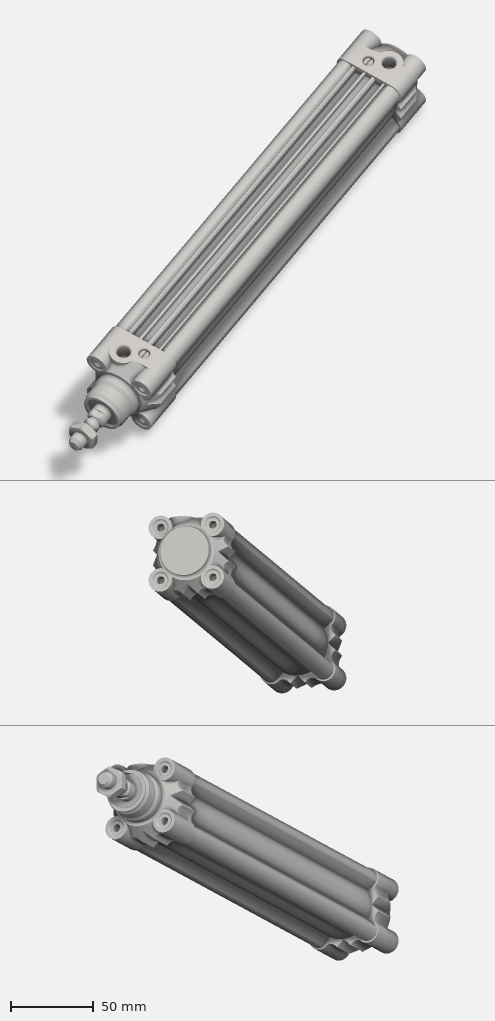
import cadquery as cq
import math

OVERALL_LENGTH = 346.0
CAP_WIDTH = 47.0
SCREW_OFFSET = 16.3

TIP_Y = -OVERALL_LENGTH / 2
ROD_SHOULDER_Y = TIP_Y + 22.0
NOSE_END_Y = TIP_Y + 29.8
FRONT_FACE_Y = TIP_Y + 48.0
REAR_FLANGE_HEIGHT = 4.0
REAR_FACE_Y = OVERALL_LENGTH / 2 - REAR_FLANGE_HEIGHT
CAP_LENGTH = 26.5
TUBE_FRONT_Y = FRONT_FACE_Y + CAP_LENGTH
TUBE_REAR_Y = REAR_FACE_Y - CAP_LENGTH
TUBE_LENGTH = TUBE_REAR_Y - TUBE_FRONT_Y

CAP_HALF = CAP_WIDTH / 2
LOBE_RADIUS = CAP_HALF - SCREW_OFFSET
LUG_LENGTH = 15.2
LUG_HALF = 21.5
LUG_FOOT = 11.5
GROOVE_DEPTH = 4.5
LIP_INNER = 4.5
LIP_OUTER = 5.0
HOLLOW_S = 6.5
HOLLOW_HALF = 21.8
CORE_END_RADIUS = 17.3
CORE_ROOT_RADIUS = 24.5

PORT_X = 5.5
PORT_FROM_FACE = 13.0
PORT_DIAMETER = 10.0
PORT_THREAD_DIAMETER = 8.5
PORT_DEPTH = 11.0
PASSAGE_DIAMETER = 6.2
PASSAGE_CORE_DIAMETER = 22.0
PORT_BOSS_RADIUS = 8.5
CUSHION_X = 5.5
CUSHION_FROM_FACE = 19.0
CUSHION_DIAMETER = 8.0
CUSHION_DEPTH = 3.5
CUSHION_BORE_DIAMETER = 7.0
CUSHION_HEAD_DIAMETER = 6.0
CUSHION_HEAD_HEIGHT = 2.0
CUSHION_SLOT_WIDTH = 1.0
CUSHION_SLOT_DEPTH = 1.0

SCREW_RECESS_DIAMETER = 10.5
SCREW_RECESS_FLOOR_DIAMETER = 8.5
SCREW_RECESS_DEPTH = 0.85
SCREW_HOLE_DIAMETER = 5.0
SCREW_HOLE_DEPTH = 7.0
DRILL_TIP_DEPTH = 1.5

FLANGE_RADIUS = 30.0 / 2
NECK_RADIUS = 28.0 / 2
NOSE_TIP_RADIUS = 26.0 / 2
FLANGE_WIDTH = 5.0
FLANGE_CONE = 2.0
NOSE_TIP_WIDTH = 1.5
NOSE_CONE = 2.0
WIPER_RECESS_DIAMETER = 22.0
WIPER_RECESS_DEPTH = 2.0
REAR_RIM_WIDTH = 1.7

TUBE_HALF = 22.5
TUBE_CORNER_RADIUS = TUBE_HALF - SCREW_OFFSET
BARREL_RADIUS = 19.0
LEDGE_OUTER = 14.2
SLOT_CENTER_X = 7.3
SLOT_WIDTH = 5.2
SLOT_FLOOR_Z = 16.5
RAIL_OUTER_X = 11.8
SLOT_CHAMFER = 1.0
RAIL_INNER_X = 2.5
RAIL_TOP_Z = 21.8

ROD_DIAMETER = 12.0
ROD_FLATS = 10.0
ROD_FLATS_LENGTH = 5.0
ROD_CHAMFER = 1.5
UNDERCUT_DIAMETER = 8.0
UNDERCUT_LENGTH = 2.0
THREAD_DIAMETER = 10.0
THREAD_CHAMFER = 1.55
THREAD_CHAMFER_LENGTH = 2.5
NUT_FLATS = 17.0
NUT_WIDTH = 6.0
NUT_FROM_TIP = 7.3
NUT_BEVEL_ANGLE = 30
NUT_TURN = 30


def revolve(profile):
    """Turn (radius, y) points about the Y axis."""
    return cq.Workplane("XY").polyline(profile).close().revolve(360, (0, 0, 0), (0, 1, 0))


def along_y(y):
    """Plane square to the cylinder axis, with X to the right, Z up and its normal along -Y."""
    return cq.Workplane("XZ", origin=(0, y, 0))


def corners():
    """X, Z of the four tie screw axes."""
    return [(x, z) for x in (-SCREW_OFFSET, SCREW_OFFSET) for z in (-SCREW_OFFSET, SCREW_OFFSET)]


def lobes():
    """Round columns that hold the tie screws."""
    return along_y(TUBE_FRONT_Y).pushPoints(corners()).circle(LOBE_RADIUS).extrude(CAP_LENGTH)


def grooved_side(outline, place):
    """Add one side: a V groove between two narrow lips, and a hollow from each lip to the lobe.

    place(s, reach) gives the X, Z of a point s along the side and reach from the axis.
    """
    outline = outline.lineTo(*place(-SCREW_OFFSET, LUG_HALF)).lineTo(*place(-LUG_FOOT, LUG_HALF))
    outline = outline.threePointArc(place(-HOLLOW_S, HOLLOW_HALF), place(-LIP_OUTER, CAP_HALF))
    groove = [(-LIP_INNER, CAP_HALF), (0, CAP_HALF - GROOVE_DEPTH), (LIP_INNER, CAP_HALF)]
    for s, reach in groove + [(LIP_OUTER, CAP_HALF)]:
        outline = outline.lineTo(*place(s, reach))
    outline = outline.threePointArc(place(HOLLOW_S, HOLLOW_HALF), place(LUG_FOOT, LUG_HALF))
    return outline.lineTo(*place(SCREW_OFFSET, LUG_HALF))


def lug_section(length):
    """Block with a grooved left, bottom and right side, and a flat top."""
    outline = along_y(TUBE_FRONT_Y).moveTo(SCREW_OFFSET, CAP_HALF).lineTo(-SCREW_OFFSET, CAP_HALF)
    outline = grooved_side(outline, lambda s, reach: (-reach, -s))
    outline = grooved_side(outline, lambda s, reach: (s, -reach))
    outline = grooved_side(outline, lambda s, reach: (reach, s))
    return outline.close().extrude(length)


def core():
    """Cone that closes the end of the cap between the lobes."""
    lug_end = TUBE_FRONT_Y - LUG_LENGTH
    cone = revolve([(0, lug_end), (CORE_ROOT_RADIUS, lug_end),
                    (CORE_END_RADIUS, FRONT_FACE_Y), (0, FRONT_FACE_Y)])
    return cone.intersect(lug_section(CAP_LENGTH))


def port_boss():
    """Round pillar that carries the port beyond the end of the flat top."""
    y = FRONT_FACE_Y + PORT_FROM_FACE
    return cq.Workplane("XY", origin=(-PORT_X, y, 0)).circle(PORT_BOSS_RADIUS).extrude(CAP_HALF)


def hole_mouth(x, y, mouth_diameter, bore_diameter):
    """45 degree countersink in the flat top of a cap."""
    chamfer = (mouth_diameter - bore_diameter) / 2
    return (cq.Workplane("XY", origin=(x, y, CAP_HALF)).circle(mouth_diameter / 2)
            .workplane(offset=-chamfer).circle(bore_diameter / 2).loft())


def port_cut():
    """Countersunk blind port in the cap top."""
    x, y = -PORT_X, FRONT_FACE_Y + PORT_FROM_FACE
    bore = (cq.Workplane("XY", origin=(x, y, CAP_HALF))
            .circle(PORT_THREAD_DIAMETER / 2).extrude(-PORT_DEPTH))
    return bore.union(hole_mouth(x, y, PORT_DIAMETER, PORT_THREAD_DIAMETER))


def air_passage():
    """Narrower hole in the port floor, down to a round core on the cylinder axis."""
    y = FRONT_FACE_Y + PORT_FROM_FACE
    hole = (cq.Workplane("XY", origin=(-PORT_X, y, 0))
            .circle(PASSAGE_DIAMETER / 2).extrude(CAP_HALF - PORT_DEPTH))
    round_core = along_y(TUBE_FRONT_Y).circle(PASSAGE_CORE_DIAMETER / 2).extrude(CAP_LENGTH)
    return hole.cut(round_core)


def cushion_cut():
    """Ring-shaped pocket round a slotted screw head."""
    x, y = CUSHION_X, FRONT_FACE_Y + CUSHION_FROM_FACE
    floor = cq.Workplane("XY", origin=(x, y, CAP_HALF - CUSHION_DEPTH))
    pocket = floor.circle(CUSHION_BORE_DIAMETER / 2).extrude(CUSHION_DEPTH)
    pocket = pocket.union(hole_mouth(x, y, CUSHION_DIAMETER, CUSHION_BORE_DIAMETER))
    head = floor.circle(CUSHION_HEAD_DIAMETER / 2).extrude(CUSHION_HEAD_HEIGHT)
    slot = (floor.workplane(offset=CUSHION_HEAD_HEIGHT - CUSHION_SLOT_DEPTH)
            .rect(CUSHION_SLOT_WIDTH, CUSHION_HEAD_DIAMETER).extrude(CUSHION_SLOT_DEPTH))
    return pocket.cut(head.cut(slot))


def screw_cut(x, z):
    """Tapered recess and drilled hole at the end of one lobe."""
    recess, floor, hole = (d / 2 for d in (
        SCREW_RECESS_DIAMETER, SCREW_RECESS_FLOOR_DIAMETER, SCREW_HOLE_DIAMETER))
    floor_y = FRONT_FACE_Y + SCREW_RECESS_DEPTH
    hole_y = FRONT_FACE_Y + SCREW_HOLE_DEPTH
    cut = revolve([(0, FRONT_FACE_Y), (recess, FRONT_FACE_Y), (floor, floor_y), (hole, floor_y),
                   (hole, hole_y), (0, hole_y + DRILL_TIP_DEPTH)])
    return cut.translate((x, 0, z))


def plain_cap():
    """Everything that the two caps share."""
    cap = lug_section(LUG_LENGTH).union(lobes()).union(core()).union(port_boss())
    cap = cap.cut(port_cut()).cut(cushion_cut())
    for x, z in corners():
        cap = cap.cut(screw_cut(x, z))
    return cap


def nose():
    """Stepped front collar, hollowed at its end round the rod."""
    flange_end = FRONT_FACE_Y - FLANGE_WIDTH
    tip_start = NOSE_END_Y + NOSE_TIP_WIDTH
    recess = WIPER_RECESS_DIAMETER / 2
    recess_y = NOSE_END_Y + WIPER_RECESS_DEPTH
    return revolve([
        (0, FRONT_FACE_Y), (FLANGE_RADIUS, FRONT_FACE_Y), (FLANGE_RADIUS, flange_end),
        (NECK_RADIUS, flange_end - FLANGE_CONE), (NECK_RADIUS, tip_start + NOSE_CONE),
        (NOSE_TIP_RADIUS, tip_start), (NOSE_TIP_RADIUS, NOSE_END_Y),
        (recess, NOSE_END_Y), (recess, recess_y), (0, recess_y)])


def make_front_cap():
    """Shared cap with the air passage and the nose."""
    return plain_cap().cut(air_passage()).union(nose())


def make_rear_cap():
    """The same cap turned round, with a low rimmed flange instead of the nose."""
    cap = plain_cap().rotate((0, 0, 0), (0, 0, 1), 180)
    cap = cap.translate((0, FRONT_FACE_Y + REAR_FACE_Y, 0))
    rim_y = OVERALL_LENGTH / 2 - REAR_RIM_WIDTH
    flange = revolve([(0, REAR_FACE_Y), (NECK_RADIUS, REAR_FACE_Y), (FLANGE_RADIUS, rim_y),
                      (FLANGE_RADIUS, OVERALL_LENGTH / 2), (0, OVERALL_LENGTH / 2)])
    return cap.union(flange)


def tube_corner(x_sign, z_sign, ledge):
    """Start, middle and end of the round on one corner, between its two ledges."""
    mid = SCREW_OFFSET + TUBE_CORNER_RADIUS / math.sqrt(2)
    points = [(ledge, LEDGE_OUTER), (mid, mid), (LEDGE_OUTER, ledge)]
    return [(x_sign * x, z_sign * z) for x, z in points]


def ledge_end(ledge):
    """Where a ledge running inwards at 45 degrees meets the round barrel."""
    half_gap = (ledge - LEDGE_OUTER) / 2
    middle = math.sqrt(BARREL_RADIUS ** 2 / 2 - half_gap ** 2)
    return middle + half_gap, middle - half_gap


def tube_section(ledge):
    """Four rounded corners with the round barrel bulging between them."""
    far, near = ledge_end(ledge)
    lower_right = tube_corner(1, -1, ledge)
    upper_right = tube_corner(1, 1, ledge)
    upper_left = tube_corner(-1, 1, ledge)
    lower_left = tube_corner(-1, -1, ledge)
    outline = along_y(TUBE_REAR_Y).moveTo(*lower_right[2]).threePointArc(*lower_right[1::-1])
    outline = outline.lineTo(far, -near).threePointArc((BARREL_RADIUS, 0), (far, near))
    outline = outline.lineTo(*upper_right[0]).threePointArc(*upper_right[1:])
    outline = outline.lineTo(near, far).threePointArc((0, BARREL_RADIUS), (-near, far))
    outline = outline.lineTo(*upper_left[2]).threePointArc(*upper_left[1::-1])
    outline = outline.lineTo(-far, near).threePointArc((-BARREL_RADIUS, 0), (-far, -near))
    outline = outline.lineTo(*lower_left[0]).threePointArc(*lower_left[1:])
    outline = outline.lineTo(-near, -far).threePointArc((0, -BARREL_RADIUS), (near, -far))
    return outline.close()


def slot_rail(side):
    """Raised pair of walls with an open sensor slot between them."""
    slot_inner = SLOT_CENTER_X - SLOT_WIDTH / 2
    slot_outer = SLOT_CENTER_X + SLOT_WIDTH / 2
    chamfer_z = RAIL_TOP_Z - SLOT_CHAMFER
    profile = [
        (RAIL_INNER_X, 0), (RAIL_INNER_X, RAIL_TOP_Z),
        (slot_inner - SLOT_CHAMFER, RAIL_TOP_Z), (slot_inner, chamfer_z),
        (slot_inner, SLOT_FLOOR_Z), (slot_outer, SLOT_FLOOR_Z),
        (slot_outer, chamfer_z), (slot_outer + SLOT_CHAMFER, RAIL_TOP_Z),
        (RAIL_OUTER_X, RAIL_TOP_Z), (RAIL_OUTER_X, 0)]
    outline = along_y(TUBE_REAR_Y).polyline([(side * x, z) for x, z in profile]).close()
    return outline.extrude(TUBE_LENGTH)


def make_tube():
    """Profile tube between the caps, with two sensor slots along its top."""
    drop = SCREW_OFFSET - LEDGE_OUTER
    ledge = SCREW_OFFSET + math.sqrt(TUBE_CORNER_RADIUS ** 2 - drop ** 2)
    body = tube_section(ledge).extrude(TUBE_LENGTH)
    for side in (-1, 1):
        clearing = (along_y(TUBE_REAR_Y).center(side * SLOT_CENTER_X, SLOT_FLOOR_Z + CAP_HALF / 2)
                    .rect(SLOT_WIDTH, CAP_HALF).extrude(TUBE_LENGTH))
        body = body.cut(clearing).union(slot_rail(side))
    return body


def make_rod():
    """Rod from the floor of the nose recess to the tip, with two spanner flats."""
    rod, cut, thread = (d / 2 for d in (ROD_DIAMETER, UNDERCUT_DIAMETER, THREAD_DIAMETER))
    thread_y = ROD_SHOULDER_Y - UNDERCUT_LENGTH
    base_y = NOSE_END_Y + WIPER_RECESS_DEPTH
    body = revolve([
        (0, base_y), (rod, base_y), (rod, ROD_SHOULDER_Y + ROD_CHAMFER),
        (rod - ROD_CHAMFER, ROD_SHOULDER_Y), (cut, ROD_SHOULDER_Y), (cut, thread_y),
        (thread, thread_y), (thread, TIP_Y + THREAD_CHAMFER_LENGTH),
        (thread - THREAD_CHAMFER, TIP_Y), (0, TIP_Y)])
    for side in (-1, 1):
        flat = cq.Workplane("XY").box(ROD_DIAMETER, ROD_FLATS_LENGTH, ROD_DIAMETER)
        flat = flat.translate((0, ROD_SHOULDER_Y + ROD_FLATS_LENGTH / 2,
                               side * (ROD_FLATS + ROD_DIAMETER) / 2))
        body = body.cut(flat)
    return body


def make_nut():
    """Hexagon nut, bevelled on both faces, on the rod thread."""
    corner = NUT_FLATS / math.sqrt(3)
    front_y = TIP_Y + NUT_FROM_TIP
    rear_y = front_y + NUT_WIDTH
    flat = NUT_FLATS / 2
    bevel = (corner - flat) * math.tan(math.radians(NUT_BEVEL_ANGLE))
    hexagon = along_y(rear_y).polygon(6, 2 * corner).extrude(NUT_WIDTH)
    hexagon = hexagon.rotate((0, 0, 0), (0, 1, 0), NUT_TURN)
    turned = revolve([(0, front_y), (flat, front_y), (corner, front_y + bevel),
                      (corner, rear_y - bevel), (flat, rear_y), (0, rear_y)])
    bore = along_y(rear_y).circle(THREAD_DIAMETER / 2).extrude(NUT_WIDTH)
    return hexagon.intersect(turned).cut(bore)


front_cap = make_front_cap()
rear_cap = make_rear_cap()
tube = make_tube()
rod = make_rod()
nut = make_nut()

result = cq.Compound.makeCompound(
    [front_cap.val(), rear_cap.val(), tube.val(), rod.val(), nut.val()])